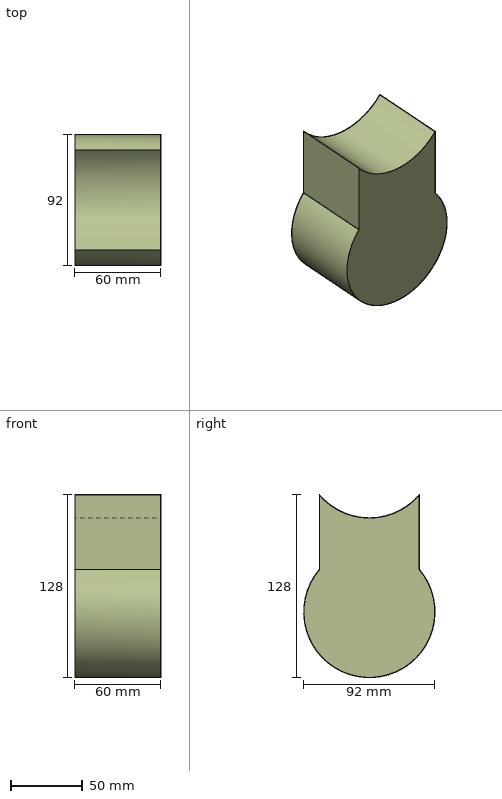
import cadquery as cq

thickness = 60.0
height = 128.0
disc_radius = 46.0
neck_width = 70.0

tip_z = height - disc_radius
half_neck = neck_width / 2
tip_to_axis = (disc_radius**2 - half_neck**2) ** 0.5
saddle_axis_z = tip_z + tip_to_axis


def cylinder_along_x(axis_z):
    """Cylinder of the disc radius, centred on X = 0 and Y = 0."""
    return (
        cq.Workplane("YZ")
        .center(0, axis_z)
        .circle(disc_radius)
        .extrude(thickness / 2, both=True)
    )


disc = cylinder_along_x(0)

neck = cq.Workplane("XY").box(thickness, neck_width, tip_z, centered=(True, True, False))

result = disc.union(neck).cut(cylinder_along_x(saddle_axis_z))